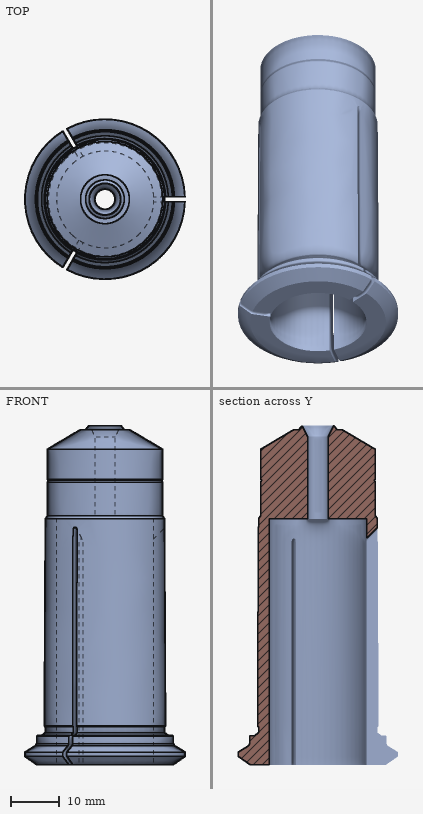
import cadquery as cq
import math

total_height = 69.9
rim_low_z = 1.75
rim_high_z = 2.65
flange_cone_z = 4.0
collar_low_z = 4.4
collar_top_z = 6.1
neck_low_z = 6.65
body_low_z = 8.05
body_top_z = 50.7
head_low_z = 51.3
head_groove_low_z = 58.2
head_groove_z = 58.65
head_cone_z = 65.0
tip_base_z = 69.05

flange_radius = 16.5
flange_bottom_radius = 14.0
collar_radius = 14.1
flange_cone_radius = 14.3
neck_flare_radius = 13.1
body_radius = 12.3
body_foot_radius = 12.5
head_radius = 23.8 / 2
head_groove_depth = 0.2
cone_top_radius = 5.0
tip_base_radius = 8.0 / 2
tip_radius = 3.3
collar_chamfer = 0.2
body_foot_chamfer = 0.2

bore_radius = 20.0 / 2
bore_depth = body_top_z
channel_radius = 4.1 / 2
countersink_radius = 3.2
countersink_depth = 2.3

slot_count = 3
slot_width = 1.0
slot_top_z = 48.9
slot_run_out = 45.0
slot_inner_radius = bore_radius - 1.4
slot_outer_radius = flange_radius + 0.7


def make_outside():
    profile = [
        (0, 0),
        (flange_bottom_radius, 0),
        (flange_radius, rim_low_z),
        (flange_radius, rim_high_z),
        (flange_cone_radius, flange_cone_z),
        (collar_radius, collar_low_z),
        (collar_radius, collar_top_z - collar_chamfer),
        (collar_radius - collar_chamfer, collar_top_z),
        (neck_flare_radius, collar_top_z),
        (body_radius, neck_low_z),
        (body_radius, body_low_z - body_foot_chamfer),
        (body_foot_radius, body_low_z),
        (body_foot_radius, body_low_z + body_foot_chamfer),
        (body_radius, body_top_z),
        (head_radius, head_low_z),
        (head_radius, head_groove_low_z),
        (head_radius - head_groove_depth, head_groove_z),
        (head_radius, head_groove_z + head_groove_depth),
        (head_radius, head_cone_z),
        (cone_top_radius, tip_base_z),
        (tip_base_radius, tip_base_z),
        (tip_radius, total_height),
        (0, total_height),
    ]
    return cq.Workplane("XZ").polyline(profile).close().revolve(360, (0, 0), (0, 1))


def make_inside():
    profile = [
        (0, 0),
        (bore_radius, 0),
        (bore_radius, bore_depth),
        (channel_radius, bore_depth),
        (channel_radius, total_height - countersink_depth),
        (countersink_radius, total_height),
        (0, total_height),
    ]
    return cq.Workplane("XZ").polyline(profile).close().revolve(360, (0, 0), (0, 1))


def make_slot():
    """Radial slot along +X; its round top end slopes down toward the bore."""
    slope = math.radians(slot_run_out)
    half_width = slot_width / 2
    axis_drop = half_width / math.cos(slope)
    axis_z = slot_top_z - axis_drop

    def axis_height(radius):
        return axis_z + (radius - body_radius) * math.tan(slope)

    inner_z = axis_height(slot_inner_radius)
    outer_z = axis_height(slot_outer_radius)
    blade = (
        cq.Workplane("XZ")
        .polyline([
            (slot_inner_radius, 0),
            (slot_outer_radius, 0),
            (slot_outer_radius, outer_z),
            (slot_inner_radius, inner_z),
        ])
        .close()
        .extrude(half_width, both=True)
    )
    end_length = (slot_outer_radius - slot_inner_radius) / math.cos(slope)
    round_end = cq.Workplane(obj=cq.Solid.makeCylinder(
        half_width,
        end_length,
        cq.Vector(slot_inner_radius, 0, inner_z),
        cq.Vector(math.cos(slope), 0, math.sin(slope)),
    ))
    return blade.union(round_end)


result = make_outside().cut(make_inside())
slot = make_slot()
for index in range(slot_count):
    angle = index * 360 / slot_count
    result = result.cut(slot.rotate((0, 0, 0), (0, 0, 1), angle))